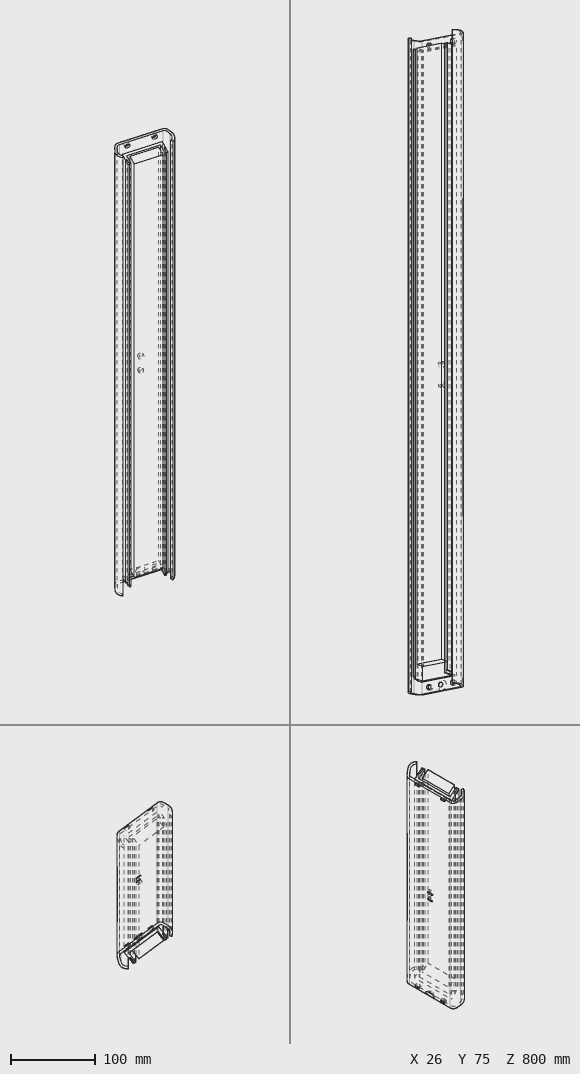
import cadquery as cq
import math

length = 800.0
rail_width = 75.0
rail_thickness = 3.0
flat_web_width = 56.0
crown_x = 10.0
crown_slope = 25.0
lip_radius = 10.0
lip_end_slope = -62.0

corner_hole_diameter = 6.0
corner_hole_y = 18.0
end_hole_inset = 7.0
middle_hole_diameter = 7.0
lower_hole_diameter = 6.0
lower_hole_drop = 26.0
countersink_diameter = 12.0
countersink_bore = 6.0

top_gap = 15.0
middle_back = 6.0
middle_front = 24.0
middle_width = 51.0
middle_thickness = 4.0
middle_bottom = 14.0

strip_back = 16.0
strip_thickness = 2.0
strip_bottom = 17.0

bar_back = 13.0
bar_front = 26.0
bar_width = 37.0
bar_bottom = 30.0

inner_top = length - top_gap


def surface_point(center, radius, slope):
    """Point of an arc where the surface rises toward +X at the given slope in degrees."""
    angle = math.radians(slope)
    return (center[0] - radius * math.sin(angle), center[1] + radius * math.cos(angle))


def half_rail():
    """The +Y half of the outer rail: half the web, a smooth corner curve and a round lip."""
    slope = math.radians(crown_slope)
    lip_center = (crown_x + lip_radius * math.sin(slope), rail_width / 2 - lip_radius)
    inner_radius = lip_radius - rail_thickness
    middle_slope = (crown_slope + lip_end_slope) / 2
    lip_slopes = (crown_slope, middle_slope, lip_end_slope)
    outer_lip = [surface_point(lip_center, lip_radius, lip_slope) for lip_slope in lip_slopes]
    inner_lip = [surface_point(lip_center, inner_radius, lip_slope) for lip_slope in lip_slopes]
    web_edge = flat_web_width / 2
    along_web = (0, 1)
    back_along_web = (0, -1)
    along_crown = (math.cos(slope), math.sin(slope))
    back_along_crown = (-math.cos(slope), -math.sin(slope))
    return (
        cq.Workplane("XY")
        .lineTo(0, web_edge)
        .spline([outer_lip[0]], tangents=[along_web, along_crown], includeCurrent=True)
        .threePointArc(outer_lip[1], outer_lip[2])
        .lineTo(*inner_lip[2])
        .threePointArc(inner_lip[1], inner_lip[0])
        .spline(
            [(rail_thickness, web_edge)],
            tangents=[back_along_crown, back_along_web],
            includeCurrent=True,
        )
        .lineTo(rail_thickness, 0)
        .close()
        .extrude(length)
    )


def web_holes(diameter, places):
    """Cylinders along X through the web, at (y, z) places."""
    return cq.Workplane("YZ").pushPoints(places).circle(diameter / 2).extrude(rail_thickness)


def countersunk_hole():
    return (
        cq.Workplane("YZ")
        .center(0, end_hole_inset)
        .circle(countersink_diameter / 2)
        .workplane(offset=rail_thickness)
        .circle(countersink_bore / 2)
        .loft()
    )


def make_outer_rail():
    half = half_rail()
    rail = half.union(half.mirror("XZ")).clean()
    corners = [
        (side * corner_hole_y, z)
        for side in (-1, 1)
        for z in (end_hole_inset, length - end_hole_inset)
    ]
    rail = rail.cut(web_holes(corner_hole_diameter, corners))
    rail = rail.cut(web_holes(middle_hole_diameter, [(0, length / 2)]))
    rail = rail.cut(web_holes(lower_hole_diameter, [(0, length / 2 - lower_hole_drop)]))
    return rail.cut(countersunk_hole())


def make_bar(x_start, x_end, width, z_bottom):
    """A straight bar along Z, centered on Y, that ends at the common top of the inner bodies."""
    size = (x_end - x_start, width, inner_top - z_bottom)
    return cq.Workplane("XY").box(*size, centered=(False, True, False)).translate((x_start, 0, z_bottom))


def make_strip(side, z_bottom):
    """A guide strip, flush with the +Y or -Y side of the middle rail."""
    strip = make_bar(strip_back, middle_front, strip_thickness, z_bottom)
    return strip.translate((0, side * (middle_width - strip_thickness) / 2, 0))


def make_middle_rail():
    rail = make_bar(middle_back, middle_front, middle_width, middle_bottom)
    inside_width = middle_width - 2 * middle_thickness
    rail = rail.cut(make_bar(middle_back + middle_thickness, middle_front, inside_width, middle_bottom))
    for side in (-1, 1):
        rail = rail.cut(make_strip(side, middle_bottom))
    return rail


outer_rail = make_outer_rail()
middle_rail = make_middle_rail()
guide_strips = [make_strip(side, strip_bottom) for side in (-1, 1)]
slide_bar = make_bar(bar_back, bar_front, bar_width, bar_bottom)

result = cq.Compound.makeCompound(
    [outer_rail.val(), middle_rail.val(), *[strip.val() for strip in guide_strips], slide_bar.val()]
)